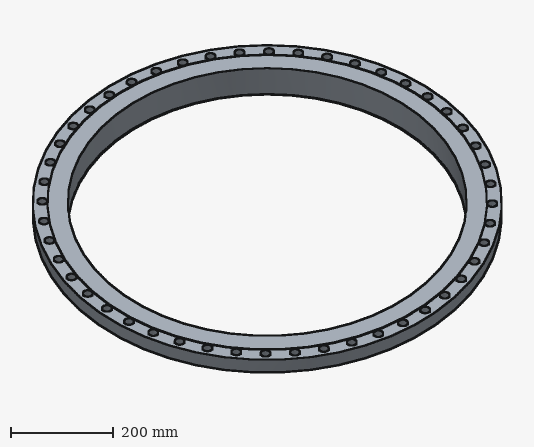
import cadquery as cq

outer_radius = 457.0
bore_radius = 389.0
total_height = 69.5

flange_thickness = 34.0
face_diameter = 857.0
face_height = 1.4

hub_top_radius = 416.0
hub_neck_radius = 412.0
hub_neck_height = 5.5
hub_low_radius = 410.0
hub_end_radius = 390.0
bevel_height = 15.0

bolt_count = 48
bolt_circle_diameter = 877.0
bolt_hole_diameter = 19.0


def make_ring():
    """Revolve the cross-section of the flange and hub about Z."""
    flange_top = total_height - face_height
    flange_bottom = flange_top - flange_thickness
    section = (
        cq.Workplane("XZ")
        .moveTo(bore_radius, 0)
        .lineTo(hub_end_radius, 0)
        .lineTo(hub_low_radius, bevel_height)
        .lineTo(hub_neck_radius, flange_bottom - hub_neck_height)
        .lineTo(hub_top_radius, flange_bottom)
        .lineTo(outer_radius, flange_bottom)
        .lineTo(outer_radius, flange_top)
        .lineTo(face_diameter / 2, flange_top)
        .lineTo(face_diameter / 2, total_height)
        .lineTo(bore_radius, total_height)
        .close()
    )
    return section.revolve(360, (0, 0), (0, 1))


def make_bolt_holes():
    """Cylinders evenly spaced on the bolt circle, one of them on +X."""
    return (
        cq.Workplane("XY")
        .polarArray(bolt_circle_diameter / 2, 0, 360, bolt_count)
        .circle(bolt_hole_diameter / 2)
        .extrude(total_height)
    )


result = make_ring().cut(make_bolt_holes())